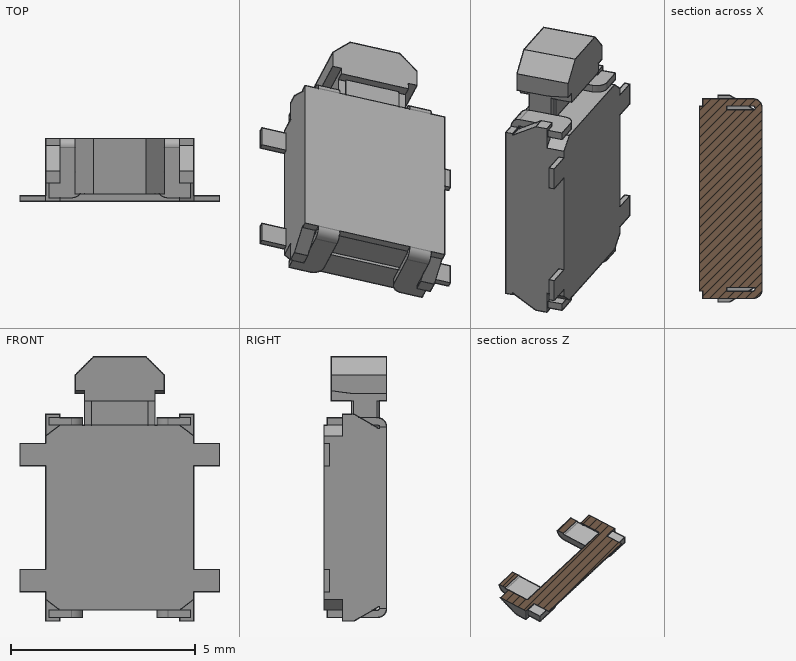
import cadquery as cq
import math

TOTAL_HEIGHT = 7.15
THICKNESS = 1.7
SHEET = 0.2

BODY_WIDTH = 4.005
BODY_HEIGHT = 5.005
BASE_THICKNESS = 0.5
CORNER_CUT_X = 0.385
CORNER_CUT_Z = 0.29
CORE_RECESS = 0.09

WALL_HEIGHT = 5.59
WALL_THICKNESS = CORNER_CUT_X
WALL_END_LENGTH = 0.32
WALL_SLOPE = math.radians(30)

CLIP_INNER_X = 1.0
CLIP_OUTER_X = 1.91
CLIP_FRONT_Y = 0.09
CLIP_CORNER_RADIUS = 0.3
BEND_RADIUS = 0.25

TERMINAL_SPAN = 5.4
TERMINAL_HEIGHT = 0.61
TERMINAL_THICKNESS = 0.15
TERMINAL_PITCH = 3.4

STEM_WIDTH = 1.915
STEM_CENTRE_WIDTH = 1.515
STEM_FRONT_Y = 0.745
STEM_STEP = 0.06

BUTTON_WIDTH = 2.42
BUTTON_HEIGHT = 1.195
BUTTON_DEPTH = 1.5
BUTTON_CHAMFER = 0.5
SHOULDER_HEIGHT = 1.0
SHOULDER_RELIEF_LENGTH = 0.585
SHOULDER_RELIEF_RISE = 0.08

BODY_MID_Z = WALL_HEIGHT / 2
BODY_TOP_Z = BODY_MID_Z + BODY_HEIGHT / 2
CORE_TOP_Z = BODY_TOP_Z - CORE_RECESS
PLATE_INNER_Y = THICKNESS - SHEET
CLIP_TOP_Z = BODY_TOP_Z + SHEET
PLATE_TOP_Z = CLIP_TOP_Z - BEND_RADIUS
WALL_INNER_X = BODY_WIDTH / 2 - WALL_THICKNESS
BUTTON_BOTTOM_Z = TOTAL_HEIGHT - BUTTON_HEIGHT


def block(x_min, x_max, y_min, y_max, z_min, z_max):
    """Box given by its limits along each axis."""
    size = (x_max - x_min, y_max - y_min, z_max - z_min)
    return cq.Workplane("XY").box(*size, centered=False).translate((x_min, y_min, z_min))


def centred_block(width, y_min, y_max, z_min, z_max):
    """Box symmetric about X = 0."""
    return block(-width / 2, width / 2, y_min, y_max, z_min, z_max)


def yz_prism(points, x_min, x_max):
    """Extrude an outline of (Y, Z) points along X."""
    outline = cq.Workplane("YZ", origin=(x_min, 0, 0)).polyline(points).close()
    return outline.extrude(x_max - x_min)


def mirror_ends(shape):
    """Add the copy of a shape at the opposite Z end of the body."""
    return shape.union(shape.mirror("XY", (0, 0, BODY_MID_Z)))


def mirror_sides(shape):
    """Add the copy of a shape on the opposite X side."""
    return shape.union(shape.mirror("YZ"))


def opposite_end(z):
    """Height of the matching level at the other Z end of the body."""
    return 2 * BODY_MID_Z - z


def make_base():
    """Base slab with its four corners cut off, and the core behind it."""
    half_width = BODY_WIDTH / 2
    bottom_z = opposite_end(BODY_TOP_Z)
    slab = centred_block(BODY_WIDTH, 0, BASE_THICKNESS, bottom_z, BODY_TOP_Z)
    corner = (
        cq.Workplane("XZ")
        .moveTo(half_width, BODY_TOP_Z)
        .lineTo(half_width - CORNER_CUT_X, BODY_TOP_Z)
        .lineTo(half_width, BODY_TOP_Z - CORNER_CUT_Z)
        .close()
        .extrude(-BASE_THICKNESS)
    )
    slab = slab.cut(mirror_ends(mirror_sides(corner)))
    between_walls = 2 * WALL_INNER_X
    front_core = centred_block(between_walls, BASE_THICKNESS, STEM_FRONT_Y, bottom_z, BODY_TOP_Z)
    rear_core = centred_block(
        between_walls, STEM_FRONT_Y, PLATE_INNER_Y, bottom_z + CORE_RECESS, CORE_TOP_Z
    )
    return slab.union(front_core).union(rear_core)


def make_walls():
    """Back plate and the two side walls with sloped ends."""
    plate = centred_block(
        BODY_WIDTH, PLATE_INNER_Y, THICKNESS, opposite_end(PLATE_TOP_Z), PLATE_TOP_Z
    )
    slope_start_y = BASE_THICKNESS + WALL_END_LENGTH
    slope_end_z = WALL_HEIGHT - (PLATE_INNER_Y - slope_start_y) * math.tan(WALL_SLOPE)
    half_wall = yz_prism(
        [
            (BASE_THICKNESS, BODY_MID_Z),
            (BASE_THICKNESS, WALL_HEIGHT),
            (slope_start_y, WALL_HEIGHT),
            (PLATE_INNER_Y, slope_end_z),
            (PLATE_INNER_Y, BODY_MID_Z),
        ],
        WALL_INNER_X,
        BODY_WIDTH / 2,
    )
    return plate.union(mirror_ends(mirror_sides(half_wall)))


def make_clips():
    """Four clips bent from the back plate over the base, hooked in front of the walls."""
    arm_width = WALL_INNER_X - CLIP_INNER_X
    inner_radius = BEND_RADIUS - SHEET
    bend_y = THICKNESS - BEND_RADIUS
    arm = (
        cq.Workplane("YZ", origin=(CLIP_INNER_X, 0, 0))
        .moveTo(CLIP_FRONT_Y, BODY_TOP_Z)
        .lineTo(CLIP_FRONT_Y, CLIP_TOP_Z)
        .lineTo(bend_y, CLIP_TOP_Z)
        .radiusArc((THICKNESS, PLATE_TOP_Z), BEND_RADIUS)
        .lineTo(PLATE_INNER_Y, PLATE_TOP_Z)
        .radiusArc((bend_y, BODY_TOP_Z), -inner_radius)
        .close()
        .extrude(arm_width)
    )
    hook = block(WALL_INNER_X, CLIP_OUTER_X, CLIP_FRONT_Y, BASE_THICKNESS, BODY_TOP_Z, CLIP_TOP_Z)
    clip = arm.edges("|Z and <X and <Y").fillet(CLIP_CORNER_RADIUS).union(hook)
    return mirror_ends(mirror_sides(clip))


def make_terminals():
    """Two flat strips flush with the base face, giving two terminals per side."""
    upper_z = BODY_MID_Z + TERMINAL_PITCH / 2
    half_height = TERMINAL_HEIGHT / 2
    strip = centred_block(
        TERMINAL_SPAN, 0, TERMINAL_THICKNESS, upper_z - half_height, upper_z + half_height
    )
    return mirror_ends(strip)


def make_stem():
    """Cross-shaped stem: a thick centre with thinner side strips."""
    centre = centred_block(STEM_CENTRE_WIDTH, STEM_FRONT_Y, PLATE_INNER_Y, CORE_TOP_Z, BUTTON_BOTTOM_Z)
    strips = centred_block(
        STEM_WIDTH, STEM_FRONT_Y + STEM_STEP, PLATE_INNER_Y - STEM_STEP, CORE_TOP_Z, BUTTON_BOTTOM_Z
    )
    return centre.union(strips)


def make_button():
    """Button with chamfered top, overhanging shoulders and a relief under their front."""
    front_y = THICKNESS - BUTTON_DEPTH
    shoulder_z = TOTAL_HEIGHT - SHOULDER_HEIGHT
    head = centred_block(BUTTON_WIDTH, front_y, THICKNESS, shoulder_z, TOTAL_HEIGHT)
    head = head.edges("|Y and >Z").chamfer(BUTTON_CHAMFER)
    relief = yz_prism(
        [
            (front_y, shoulder_z),
            (front_y, shoulder_z + SHOULDER_RELIEF_RISE),
            (front_y + SHOULDER_RELIEF_LENGTH, shoulder_z),
        ],
        -BUTTON_WIDTH / 2,
        BUTTON_WIDTH / 2,
    )
    neck = centred_block(
        STEM_WIDTH, front_y, THICKNESS, BUTTON_BOTTOM_Z, shoulder_z + SHOULDER_RELIEF_RISE
    )
    return head.cut(relief).union(neck)


result = make_base()
for feature in (make_walls(), make_clips(), make_terminals(), make_stem(), make_button()):
    result = result.union(feature)